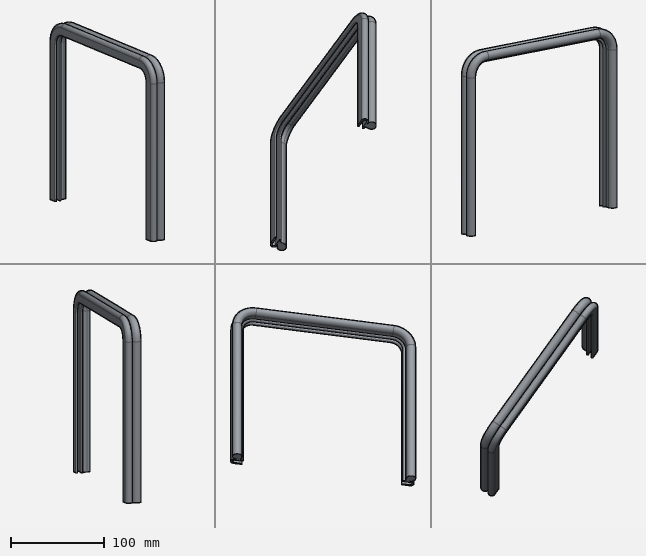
import cadquery as cq
import math

FRAME_SPAN = 200.0
FRAME_HEIGHT = 200.0
CORNER_RADIUS = 25.0

SECTION_WIDTH = 18.0
BEAD_RADIUS = 5.0
LIP_THICKNESS = 2.0
LIP_DEPTH = 13.0

FRONT_Y = -SECTION_WIDTH / 2
BACK_Y = SECTION_WIDTH / 2
BEAD_Y = BACK_Y - BEAD_RADIUS
SEAM_Y = BACK_Y - 2 * BEAD_RADIUS
CLIP_RADIUS = (SEAM_Y - FRONT_Y) / 2
CLIP_Y = SEAM_Y - CLIP_RADIUS
SLOT_RADIUS = CLIP_RADIUS - LIP_THICKNESS
LIP_TIP_RADIUS = LIP_THICKNESS / 2
LIP_TANGENT_DEPTH = LIP_DEPTH - LIP_TIP_RADIUS


def make_section():
    """Closed cross-section wire at the foot of the left leg, in the XY plane."""
    outer_x = -FRAME_SPAN / 2
    bead_x = outer_x + BEAD_RADIUS
    bead_inner_x = outer_x + 2 * BEAD_RADIUS
    clip_x = outer_x + CLIP_RADIUS
    lip_end_x = outer_x + LIP_DEPTH
    lip_tangent_x = outer_x + LIP_TANGENT_DEPTH
    bead_diagonal = BEAD_RADIUS * math.sqrt(0.5)

    return (
        cq.Workplane("XY")
        .moveTo(bead_x, SEAM_Y)
        .threePointArc((bead_x - bead_diagonal, BEAD_Y - bead_diagonal), (outer_x, BEAD_Y))
        .threePointArc((bead_x - bead_diagonal, BEAD_Y + bead_diagonal), (bead_x, BACK_Y))
        .threePointArc((bead_x + bead_diagonal, BEAD_Y + bead_diagonal), (bead_inner_x, BEAD_Y))
        .lineTo(bead_inner_x, SEAM_Y)
        .lineTo(lip_tangent_x, SEAM_Y)
        .threePointArc(
            (lip_end_x, SEAM_Y - LIP_TIP_RADIUS),
            (lip_tangent_x, SEAM_Y - LIP_THICKNESS),
        )
        .lineTo(clip_x, CLIP_Y + SLOT_RADIUS)
        .threePointArc((clip_x - SLOT_RADIUS, CLIP_Y), (clip_x, CLIP_Y - SLOT_RADIUS))
        .lineTo(lip_tangent_x, CLIP_Y - SLOT_RADIUS)
        .threePointArc((lip_end_x, FRONT_Y + LIP_TIP_RADIUS), (lip_tangent_x, FRONT_Y))
        .lineTo(clip_x, FRONT_Y)
        .threePointArc((outer_x, CLIP_Y), (clip_x, SEAM_Y))
        .close()
    )


def make_path():
    """Outer line of the frame: up the left leg, across the top, down the right leg."""
    side_x = FRAME_SPAN / 2
    bend_x = side_x - CORNER_RADIUS
    bend_z = FRAME_HEIGHT - CORNER_RADIUS
    bend_diagonal = CORNER_RADIUS * math.sqrt(0.5)

    return (
        cq.Workplane("XZ")
        .moveTo(-side_x, 0)
        .lineTo(-side_x, bend_z)
        .threePointArc((-bend_x - bend_diagonal, bend_z + bend_diagonal), (-bend_x, FRAME_HEIGHT))
        .lineTo(bend_x, FRAME_HEIGHT)
        .threePointArc((bend_x + bend_diagonal, bend_z + bend_diagonal), (side_x, bend_z))
        .lineTo(side_x, 0)
    )


result = make_section().sweep(make_path())